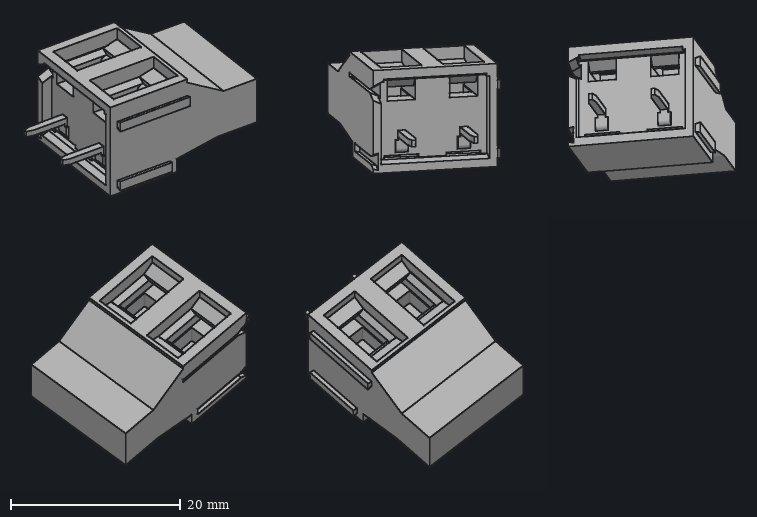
import cadquery as cq
import math


OVERALL_LENGTH = 25.4
OVERALL_HEIGHT = 12.5
OVERALL_WIDTH = 15.85

PIN_LENGTH = 4.4
RAIL_HEIGHT = 0.6
HOUSING_WIDTH = OVERALL_WIDTH - RAIL_HEIGHT
HOUSING_LENGTH = OVERALL_LENGTH - PIN_LENGTH
POLE_COUNT = 2
POLE_PITCH = HOUSING_WIDTH / POLE_COUNT
POLE_CENTERS = [POLE_PITCH * (pole + 0.5) for pole in range(POLE_COUNT)]
TAIL_BOTTOM = 2.85
TAIL_TOP = 8.97
UPPER_STEP_Y = 11.02
UPPER_STEP_Z = 12.01
UPPER_SLOPE_END_Y = 16.2
LOWER_STEP_Y = 9.52
LOWER_STEP_Z = 1.83
LOWER_SLOPE_END_Y = 15.4

RECESS_DEPTH = 1.32
RECESS_SIDE_WALL = 1.0
RECESS_BOTTOM = 1.42
RECESS_TOP = 11.02
RECESS_LEAD_IN = 0.35
LEAD_IN_DEPTH = 0.91
TOP_LEAD_IN_INSET = 0.33

FUNNEL_WIDTH = 5.03
FUNNEL_FRONT = 1.37
FUNNEL_REAR = 10.52
FUNNEL_RIM_Z = 10.41
FRONT_SLOPE_DROP = 0.86
REAR_SLOPE_DROP = 0.53
CHAMBER_WIDTH = 3.43
CHAMBER_FRONT = 2.85
CHAMBER_REAR = 8.48
CHAMBER_FLOOR = 8.4
CHAMBER_TOP = 9.9
CEILING_SLOPE_LENGTH = 0.91

CLAMP_FRONT = 7.62
CLAMP_RADIUS = 0.81
WELL_WIDTH = 3.2
WELL_FRONT = 3.7
WELL_DEPTH = 2.55
WELL_CORNER_RADIUS = 0.18

RELIEF_WIDTH = 4.22
RELIEF_HEIGHT = 0.38
RELIEF_DEPTH = 0.75
RELIEF_LEAN = 0.2

PIN_WIDTH = 0.95
PIN_BOTTOM = 4.01
PIN_TOP = 4.8
PIN_TIP_WIDTH = 0.45
PIN_TIP_LENGTH = 0.95
PLATE_WIDTH = 1.55
PLATE_TOP = 3.68
PLATE_PROTRUSION = 0.33
BEND_RADIUS = 0.6
BEND_CENTER_Z = 2.67

RAIL_FRONT = 1.02
UPPER_DOVETAIL_Z = 9.7
UPPER_GROOVE_DEPTH = 1.25
UPPER_GROOVE_MOUTH = 0.4
UPPER_GROOVE_BASE = 1.57
UPPER_FLARE_LENGTH = 1.57
UPPER_FLARE = 0.64
UPPER_RAIL_ROOT = 0.91
LOWER_DOVETAIL_Z = 1.42
LOWER_GROOVE_DEPTH = 0.64
LOWER_GROOVE_MOUTH = 0.97
LOWER_GROOVE_BASE = 1.27
LOWER_GROOVE_END = 8.48
LOWER_FLARE_LENGTH = 0.91
LOWER_FLARE = 0.38
RAIL_CREST = 1.3


def extrude_along_x(points, center_x, width):
    """Prism of a (Y, Z) outline, centred on center_x."""
    outline = cq.Workplane("YZ", origin=(center_x, 0, 0)).polyline(points).close()
    return outline.extrude(width / 2, both=True)


def block(x_range, y_range, z_range):
    """Axis-aligned box between the given limits."""
    spans = [high - low for low, high in (x_range, y_range, z_range)]
    corner = (x_range[0], y_range[0], z_range[0])
    return cq.Workplane("XY").box(*spans, centered=False).translate(corner)


def centered_range(center, width):
    return (center - width / 2, center + width / 2)


def make_housing():
    profile = [
        (0, 0),
        (LOWER_STEP_Y, 0),
        (LOWER_STEP_Y, LOWER_STEP_Z),
        (LOWER_SLOPE_END_Y, TAIL_BOTTOM),
        (HOUSING_LENGTH, TAIL_BOTTOM),
        (HOUSING_LENGTH, TAIL_TOP),
        (UPPER_SLOPE_END_Y, TAIL_TOP),
        (UPPER_STEP_Y, UPPER_STEP_Z),
        (UPPER_STEP_Y, OVERALL_HEIGHT),
        (0, OVERALL_HEIGHT),
    ]
    return extrude_along_x(profile, HOUSING_WIDTH / 2, HOUSING_WIDTH)


def make_recess():
    """Recess of the mounting face, with sloped lead-ins along its bottom and top."""
    width = HOUSING_WIDTH - 2 * RECESS_SIDE_WALL
    lower_profile = [
        (0, RECESS_BOTTOM - RECESS_LEAD_IN),
        (LEAD_IN_DEPTH, RECESS_BOTTOM),
        (RECESS_DEPTH, RECESS_BOTTOM),
        (RECESS_DEPTH, RECESS_TOP),
        (0, RECESS_TOP),
    ]
    upper_lead_in = [
        (0, RECESS_TOP),
        (LEAD_IN_DEPTH, RECESS_TOP),
        (0, RECESS_TOP + RECESS_LEAD_IN),
    ]
    recess = extrude_along_x(lower_profile, HOUSING_WIDTH / 2, width)
    return recess.union(extrude_along_x(upper_lead_in, HOUSING_WIDTH / 2, width - 2 * TOP_LEAD_IN_INSET))


def make_funnel(center_x):
    """Wide opening in the top face, narrowing on all four sides to the chamber."""
    profile = [
        (FUNNEL_FRONT, OVERALL_HEIGHT),
        (FUNNEL_FRONT, FUNNEL_RIM_Z + FRONT_SLOPE_DROP),
        (CHAMBER_FRONT, FUNNEL_RIM_Z),
        (CHAMBER_REAR, FUNNEL_RIM_Z),
        (FUNNEL_REAR, FUNNEL_RIM_Z + REAR_SLOPE_DROP),
        (FUNNEL_REAR, OVERALL_HEIGHT),
    ]
    side_slopes = (
        cq.Workplane("XZ", origin=(center_x, CHAMBER_FRONT, 0))
        .polyline([
            (-FUNNEL_WIDTH / 2, FUNNEL_RIM_Z),
            (-CHAMBER_WIDTH / 2, CHAMBER_TOP),
            (CHAMBER_WIDTH / 2, CHAMBER_TOP),
            (FUNNEL_WIDTH / 2, FUNNEL_RIM_Z),
        ])
        .close()
        .extrude(CHAMBER_FRONT - CHAMBER_REAR)
    )
    return extrude_along_x(profile, center_x, FUNNEL_WIDTH).union(side_slopes)


def make_chamber(center_x):
    """Chamber from the recess to the rounded clamp, with the well sunk into its floor."""
    bend_z = CHAMBER_TOP - CLAMP_RADIUS
    diagonal = CLAMP_RADIUS * math.sqrt(0.5)
    chamber = (
        cq.Workplane("YZ", origin=(center_x, 0, 0))
        .moveTo(RECESS_DEPTH, CHAMBER_FLOOR)
        .lineTo(CLAMP_FRONT, CHAMBER_FLOOR)
        .lineTo(CLAMP_FRONT, bend_z)
        .threePointArc(
            (CLAMP_FRONT + CLAMP_RADIUS - diagonal, bend_z + diagonal),
            (CLAMP_FRONT + CLAMP_RADIUS, CHAMBER_TOP),
        )
        .lineTo(RECESS_DEPTH + CEILING_SLOPE_LENGTH, CHAMBER_TOP)
        .lineTo(RECESS_DEPTH, RECESS_TOP)
        .close()
        .extrude(CHAMBER_WIDTH / 2, both=True)
    )
    well = block(
        centered_range(center_x, WELL_WIDTH),
        (WELL_FRONT, CLAMP_FRONT),
        (CHAMBER_FLOOR - WELL_DEPTH, CHAMBER_FLOOR),
    )
    well = well.edges("|Z and <Y").fillet(WELL_CORNER_RADIUS)
    return chamber.union(well)


def make_relief(center_x):
    """Low relief at the recess bottom; the back of its +X half leans away upward."""
    inner_y = RECESS_DEPTH + RELIEF_DEPTH
    top_z = RECESS_BOTTOM + RELIEF_HEIGHT
    square_half = block(
        (center_x - RELIEF_WIDTH / 2, center_x),
        (RECESS_DEPTH, inner_y),
        (RECESS_BOTTOM, top_z),
    )
    leaning_half = extrude_along_x(
        [
            (RECESS_DEPTH, RECESS_BOTTOM),
            (inner_y - RELIEF_LEAN, RECESS_BOTTOM),
            (inner_y, top_z),
            (RECESS_DEPTH, top_z),
        ],
        center_x + RELIEF_WIDTH / 4,
        RELIEF_WIDTH / 2,
    )
    return square_half.union(leaning_half)


def make_groove(center_z, depth, mouth, base, flare_length, flare, end_y):
    """Dovetail groove in the -X side, flared where it meets the mounting face."""
    def outline(extra):
        return [
            (0, center_z - mouth / 2 - extra),
            (depth, center_z - base / 2 - extra),
            (depth, center_z + base / 2 + extra),
            (0, center_z + mouth / 2 + extra),
        ]

    straight = cq.Workplane("XZ").polyline(outline(0)).close().extrude(-end_y)
    flared = (
        cq.Workplane("XZ")
        .polyline(outline(flare)).close()
        .workplane(offset=-flare_length)
        .polyline(outline(0)).close()
        .loft(ruled=True)
    )
    return straight.union(flared)


def make_rail(center_z, root, end_y):
    """Dovetail rail on the +X side, widening outward."""
    return (
        cq.Workplane("XZ", origin=(0, RAIL_FRONT, 0))
        .polyline([
            (HOUSING_WIDTH, center_z - root / 2),
            (OVERALL_WIDTH, center_z - RAIL_CREST / 2),
            (OVERALL_WIDTH, center_z + RAIL_CREST / 2),
            (HOUSING_WIDTH, center_z + root / 2),
        ])
        .close()
        .extrude(RAIL_FRONT - end_y)
    )


def make_pin(center_x):
    """Rectangular pin with a tapered tip, rising from a plate bent into the housing."""
    plate_front = RECESS_DEPTH - PLATE_PROTRUSION
    embedded_y = plate_front + BEND_RADIUS
    diagonal = BEND_RADIUS * math.sqrt(0.5)
    pin = (
        cq.Workplane("XY", origin=(center_x, 0, PIN_BOTTOM))
        .polyline([
            (-PIN_WIDTH / 2, embedded_y),
            (-PIN_WIDTH / 2, PIN_TIP_LENGTH - PIN_LENGTH),
            (-PIN_TIP_WIDTH / 2, -PIN_LENGTH),
            (PIN_TIP_WIDTH / 2, -PIN_LENGTH),
            (PIN_WIDTH / 2, PIN_TIP_LENGTH - PIN_LENGTH),
            (PIN_WIDTH / 2, embedded_y),
        ])
        .close()
        .extrude(PIN_TOP - PIN_BOTTOM)
    )
    neck = block(
        centered_range(center_x, PIN_WIDTH),
        (plate_front, embedded_y),
        (PLATE_TOP, PIN_BOTTOM),
    )
    plate = (
        cq.Workplane("YZ", origin=(center_x, 0, 0))
        .moveTo(embedded_y, PLATE_TOP)
        .lineTo(plate_front, PLATE_TOP)
        .lineTo(plate_front, BEND_CENTER_Z)
        .threePointArc(
            (embedded_y - diagonal, BEND_CENTER_Z - diagonal),
            (embedded_y, BEND_CENTER_Z - BEND_RADIUS),
        )
        .close()
        .extrude(PLATE_WIDTH / 2, both=True)
    )
    return plate.union(neck).union(pin)


result = make_housing().cut(make_recess())

for pole_x in POLE_CENTERS:
    result = result.cut(make_funnel(pole_x))
    result = result.cut(make_chamber(pole_x))
    result = result.cut(make_relief(pole_x))
    result = result.union(make_pin(pole_x))

result = result.cut(make_groove(
    UPPER_DOVETAIL_Z, UPPER_GROOVE_DEPTH, UPPER_GROOVE_MOUTH, UPPER_GROOVE_BASE,
    UPPER_FLARE_LENGTH, UPPER_FLARE, UPPER_STEP_Y,
))
result = result.cut(make_groove(
    LOWER_DOVETAIL_Z, LOWER_GROOVE_DEPTH, LOWER_GROOVE_MOUTH, LOWER_GROOVE_BASE,
    LOWER_FLARE_LENGTH, LOWER_FLARE, LOWER_GROOVE_END,
))
result = result.union(make_rail(UPPER_DOVETAIL_Z, UPPER_RAIL_ROOT, UPPER_STEP_Y))
result = result.union(make_rail(LOWER_DOVETAIL_Z, LOWER_GROOVE_MOUTH, LOWER_GROOVE_END))